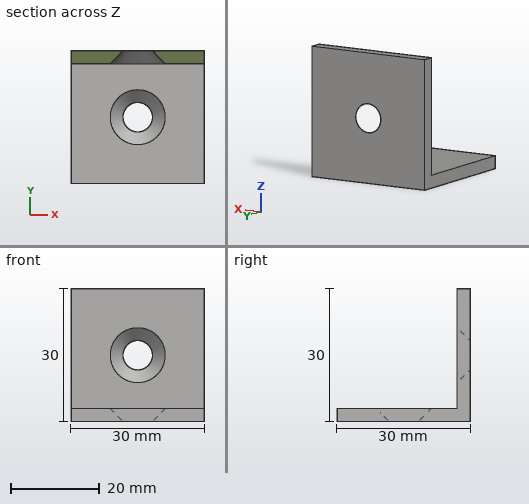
import cadquery as cq

leg_length = 30.0
thickness = 3.0
hole_small_diameter = 6.6
hole_large_diameter = 12.4
half_length = leg_length / 2


def make_angle():
    """L-shaped body: a floor leg and an upright leg along the +Y side."""
    floor = cq.Workplane("XY").box(leg_length, leg_length, thickness, centered=False)
    upright = (
        cq.Workplane("XY")
        .box(leg_length, thickness, leg_length, centered=False)
        .translate((0, leg_length - thickness, 0))
    )
    return floor.union(upright)


def make_screw_cone(outer_center, inward):
    """Cone through a leg, widening from its outer face to its inner face."""
    return cq.Solid.makeCone(
        hole_small_diameter / 2,
        hole_large_diameter / 2,
        thickness,
        pnt=cq.Vector(*outer_center),
        dir=cq.Vector(*inward),
    )


floor_cone = make_screw_cone((half_length, half_length, 0), (0, 0, 1))
upright_cone = make_screw_cone((half_length, leg_length, half_length), (0, -1, 0))

result = make_angle().cut(floor_cone).cut(upright_cone)